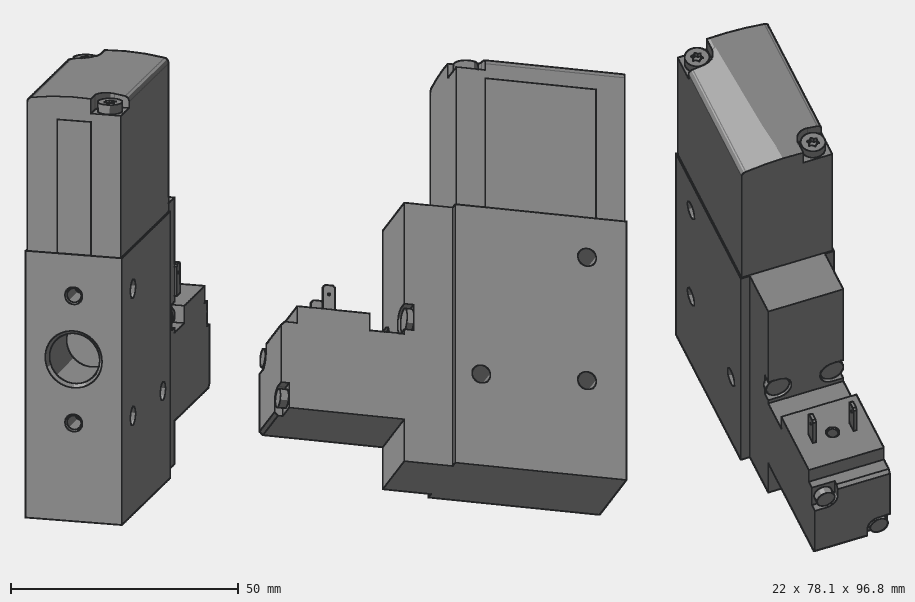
import cadquery as cq
import math

total_depth = 78.1
total_height = 96.8

body_width = 22.0
body_depth = 39.0
body_height = 60.9
plate_width = 17.7
plate_back = 50.0

head_width = 21.4
head_front = 0.3
head_depth = 38.4
crown_radius = 58.1
head_edge_fillet = 1.2
panel_inset = 0.1
panel_top = 91.4
front_panel_width = 7.7
side_panel_margin = 6.6

pilot_bottom = 9.9
pilot_top = 30.0
pilot_edge_chamfer = 0.8
connector_front = 57.9
connector_back = 74.4
connector_top = 34.0

pin_thickness = 0.8
pin_width = 2.7
pin_height = 7.2
pin_spacing = 9.6
pin_chamfer = 0.5
pin_hole_diameter = 0.5
pin_hole_below_tip = 2.1
connector_centre = (connector_front + connector_back) / 2
connector_hole_diameter = 2.4
connector_hole_depth = 4.8
connector_hole_chamfer = 0.3

mounting_hole_diameter = 4.2
front_hole_y = 9.0
rear_hole_y = 33.1
rear_hole_z = 21.5
port_z = 37.0
port_diameter = 11.4
port_depth = 14.5
port_chamfer = 0.8
side_port_offset = 14.5
side_port_diameter = 3.2
side_port_chamfer = 0.4

large_screw_diameter = 5.4
head_screw_height = 2.1
small_screw_diameter = 4.2
small_screw_height = 1.8
socket_tip_radius = 1.4
socket_root_radius = 1.0
socket_depth = 1.2
socket_points = 6

head_screw_x = 7.4
head_screw_inset = 3.1
head_notch_radius = 3.5
head_notch_floor = 93.3
plate_screw_x = 6.4
plate_screw_z = 34.1
plate_notch_height = 6.0
plate_notch_depth = 2.1
plate_screw_height = 1.55
pilot_screw_x = 6.3
pilot_screw_inset = 3.0
pilot_notch_radius = 2.8


def block(width, y_start, y_end, z_start, z_end):
    """Rectangular block centred on X."""
    size_y = y_end - y_start
    size_z = z_end - z_start
    return cq.Workplane("XY").box(width, size_y, size_z, centered=(True, False, False)).translate(
        (0, y_start, z_start)
    )


def rod_along_y(diameter, x, z, y_start, length):
    """Cylinder running in +Y from y_start."""
    return cq.Workplane("XZ", origin=(x, y_start, z)).circle(diameter / 2).extrude(-length)


def corner_notch(plane, radius, depth, side_u, side_v):
    """Pocket reaching past a corner in directions side_u and side_v, with one round inner corner."""
    reach = 2 * radius
    arc_mid = -radius * math.sqrt(0.5)
    return (
        cq.Workplane(plane)
        .moveTo(-radius * side_u, reach * side_v)
        .lineTo(-radius * side_u, 0)
        .threePointArc((arc_mid * side_u, arc_mid * side_v), (0, -radius * side_v))
        .lineTo(reach * side_u, -radius * side_v)
        .lineTo(reach * side_u, reach * side_v)
        .close()
        .extrude(depth)
    )


def star_socket():
    """Six-pointed screw drive, cut downward from Z = 0."""
    points = []
    for i in range(2 * socket_points):
        radius = socket_tip_radius if i % 2 == 0 else socket_root_radius
        angle = math.pi / 2 + i * math.pi / socket_points
        points.append((radius * math.cos(angle), radius * math.sin(angle)))
    return cq.Workplane("XY").polyline(points).close().extrude(-socket_depth)


def drilled_from_front(diameter, z, depth, chamfer):
    """Blind hole from the front face with a chamfered mouth."""
    hole = rod_along_y(diameter, 0, z, 0, depth)
    mouth = cq.Solid.makeCone(
        diameter / 2 + chamfer, diameter / 2, chamfer, pnt=(0, 0, z), dir=(0, 1, 0)
    )
    return hole.union(cq.Workplane(mouth))


def make_body():
    body = block(body_width, 0, body_depth, 0, body_height)
    upper_hole = (front_hole_y, port_z + side_port_offset)
    lower_hole = (front_hole_y, port_z - side_port_offset)
    rear_hole = (rear_hole_y, rear_hole_z)
    mounting_holes = (
        cq.Workplane("YZ")
        .pushPoints([upper_hole, lower_hole, rear_hole])
        .circle(mounting_hole_diameter / 2)
        .extrude(body_width, both=True)
    )
    body = body.cut(mounting_holes)
    body = body.cut(drilled_from_front(port_diameter, port_z, port_depth, port_chamfer))
    for y, z in (upper_hole, lower_hole):
        body = body.cut(drilled_from_front(side_port_diameter, z, y, side_port_chamfer))
    return body


def make_head():
    half_width = head_width / 2
    head_back = head_front + head_depth
    crown_drop = crown_radius - math.sqrt(crown_radius**2 - half_width**2)
    shoulder = total_height - crown_drop
    head = (
        cq.Workplane("XZ", origin=(0, head_front, 0))
        .moveTo(-half_width, body_height)
        .lineTo(-half_width, shoulder)
        .threePointArc((0, total_height), (half_width, shoulder))
        .lineTo(half_width, body_height)
        .close()
        .extrude(-head_depth)
    )
    for side in (-1, 1):
        edge = cq.NearestToPointSelector((side * half_width, head_front + head_depth / 2, shoulder))
        head = head.edges(edge).fillet(head_edge_fillet)

    front_panel = block(
        front_panel_width, head_front, head_front + panel_inset, body_height, panel_top
    )
    side_panel = block(
        2 * panel_inset,
        head_front + side_panel_margin,
        head_back - side_panel_margin,
        body_height,
        panel_top,
    ).translate((-half_width, 0, 0))
    head = head.cut(front_panel).cut(side_panel)

    notch_depth = total_height - head_notch_floor
    screw = cq.Workplane("XY").circle(large_screw_diameter / 2).extrude(head_screw_height)
    screw = screw.cut(star_socket().translate((0, 0, head_screw_height)))
    front_y = head_front + head_screw_inset
    back_y = head_back - head_screw_inset
    for side_x, side_y, y in ((1, -1, front_y), (-1, 1, back_y)):
        place = (side_x * head_screw_x, y, head_notch_floor)
        notch = corner_notch("XY", head_notch_radius, notch_depth, side_x, side_y)
        head = head.cut(notch.translate(place)).union(screw.translate(place))
    return head


def make_plate():
    plate = block(plate_width, body_depth, plate_back, 0, body_height)
    floor_y = plate_back - plate_notch_depth
    notch_radius = plate_notch_height / 2
    for side in (-1, 1):
        x = side * plate_screw_x
        round_end = rod_along_y(plate_notch_height, x, plate_screw_z, floor_y, plate_notch_depth)
        opening = block(
            plate_width,
            floor_y,
            plate_back,
            plate_screw_z - notch_radius,
            plate_screw_z + notch_radius,
        ).translate((x + side * plate_width / 2, 0, 0))
        plate = plate.cut(round_end).cut(opening)
        plate = plate.union(
            rod_along_y(large_screw_diameter, x, plate_screw_z, floor_y, plate_screw_height)
        )
    return plate


def make_pin():
    """Flat contact pin standing on Z = 0, with a cross hole near its tip."""
    pin = cq.Workplane("XY").box(
        pin_thickness, pin_width, pin_height, centered=(True, True, False)
    )
    pin = pin.edges("|X and >Z").chamfer(pin_chamfer)
    hole = (
        cq.Workplane("YZ", origin=(0, 0, pin_height - pin_hole_below_tip))
        .circle(pin_hole_diameter / 2)
        .extrude(pin_thickness, both=True)
    )
    return pin.cut(hole)


def make_pilot():
    pilot = block(plate_width, plate_back, total_depth, pilot_bottom, pilot_top)
    pilot = pilot.edges("|X and >Y").chamfer(pilot_edge_chamfer)

    floor_y = total_depth - small_screw_height
    top_z = pilot_top - pilot_screw_inset
    bottom_z = pilot_bottom + pilot_screw_inset
    for side_x, side_z, z in ((1, 1, top_z), (-1, -1, bottom_z)):
        x = side_x * pilot_screw_x
        notch = corner_notch("XZ", pilot_notch_radius, -small_screw_height, side_x, side_z)
        screw = rod_along_y(small_screw_diameter, x, z, floor_y, small_screw_height)
        pilot = pilot.cut(notch.translate((x, floor_y, z))).union(screw)

    connector = block(plate_width, connector_front, connector_back, pilot_bottom, connector_top)
    connector_hole = (
        cq.Workplane("XY", origin=(0, connector_centre, connector_top))
        .circle(connector_hole_diameter / 2)
        .extrude(-connector_hole_depth)
    )
    pilot = pilot.union(connector).cut(connector_hole)
    rim = cq.NearestToPointSelector((0, connector_centre, connector_top))
    pilot = pilot.edges("%CIRCLE").edges(rim).chamfer(connector_hole_chamfer)
    for side in (-1, 1):
        pilot = pilot.union(
            make_pin().translate((side * pin_spacing / 2, connector_centre, connector_top))
        )
    return pilot


result = make_body().union(make_plate()).union(make_head()).union(make_pilot())